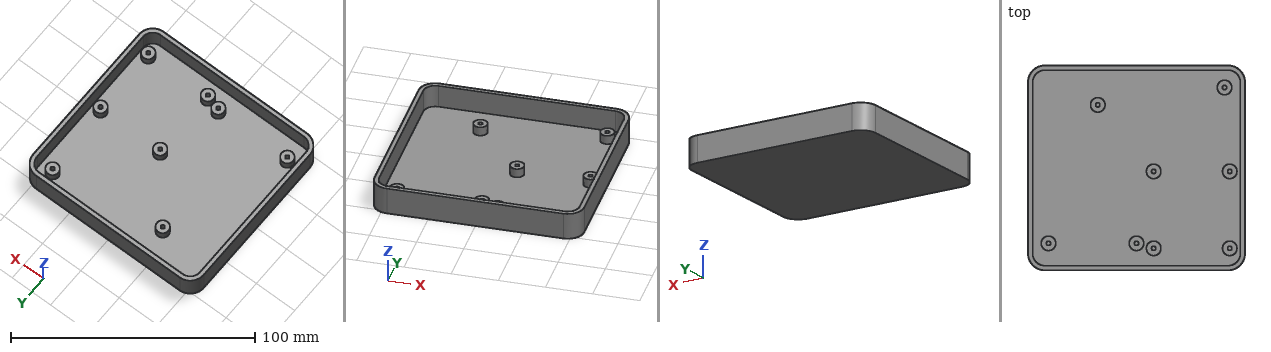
import cadquery as cq

length = 89.0
width = 84.0
height = 12.0
corner_radius = 7.0
wall = 2.0
floor_thickness = 2.0

standoff_diameter = 6.0
standoff_height = 4.0
screw_hole_diameter = 1.8

grid_left = 7.0
grid_right = 38.2
grid_front = -32.9
grid_back = -1.4
grid_centers = [(x, y) for x in (grid_left, grid_right) for y in (grid_front, grid_back)]

board_side = 36.05
board_front = -30.9
board_centers = [
    (-board_side, board_front),
    (0, board_front),
    (-15.8, 25.8),
    (board_side, 32.9),
]


def rounded_block(size_x, size_y, size_z, radius):
    """Block standing on the XY plane with rounded vertical edges."""
    block = cq.Workplane("XY").box(size_x, size_y, size_z, centered=(True, True, False))
    return block.edges("|Z").fillet(radius)


def make_tray():
    outside = rounded_block(length, width, height, corner_radius)
    cavity = rounded_block(
        length - 2 * wall,
        width - 2 * wall,
        height - floor_thickness,
        corner_radius - wall,
    )
    return outside.cut(cavity.translate((0, 0, floor_thickness)))


def cylinders_on_floor(centers, diameter):
    """Cylinders of standoff height rising from the tray floor."""
    floor = cq.Workplane("XY").workplane(offset=floor_thickness)
    return floor.pushPoints(centers).circle(diameter / 2).extrude(standoff_height)


standoff_centers = grid_centers + board_centers
standoffs = cylinders_on_floor(standoff_centers, standoff_diameter)
screw_holes = cylinders_on_floor(standoff_centers, screw_hole_diameter)
result = make_tray().union(standoffs).cut(screw_holes)